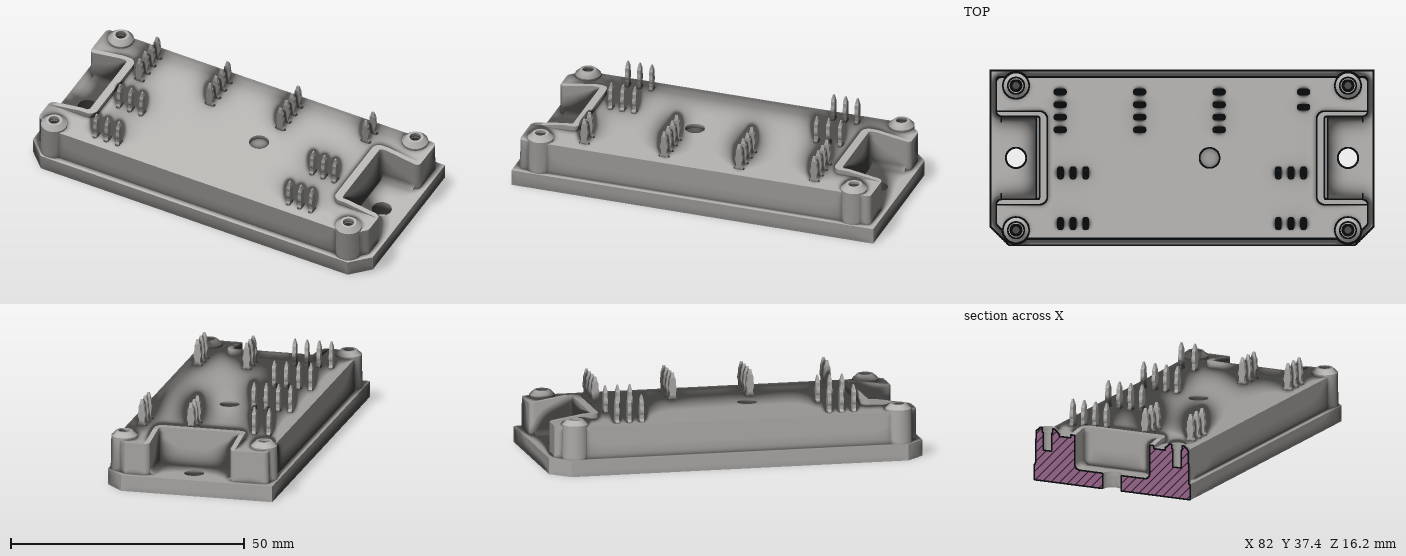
import cadquery as cq
import math

BASE_LENGTH = 82.0
BASE_WIDTH = 37.4
BASE_HEIGHT = 3.5
BASE_CHAMFER = 4.0
MOUNT_HOLE_DIAMETER = 4.3
MOUNT_HOLE_X = 35.5

HOUSING_TOP = 10.4
HOUSING_LENGTH = 79.5
HOUSING_WIDTH = 34.8
HOUSING_CHAMFER = 3.2
HOUSING_CORNER_RADIUS = 1.0
HOUSING_DRAFT = 0.2

NOTCH_HALF_WIDTH = 8.9
NOTCH_BACK_X = 30.5
NOTCH_MOUTH_RADIUS = 1.1
NOTCH_CORNER_RADIUS = 0.6
NOTCH_FILLET_RADIUS = 1.2
RIM_TOP = 11.65
RIM_WALL = 1.1
RIM_BACK_X = 28.8
RIM_CORNER_RADIUS = 1.7
RIM_SLOPE_END_X = 32.0
RIM_SLOPE_BLEND_RADIUS = 4.0
SLOT_WIDTH = 0.6
SLOT_HALF_LENGTH = 8.8

BOSS_X = 35.5
BOSS_Y = 15.45
BOSS_TOP = 11.9
BOSS_CONE_START = 10.9
BOSS_FOOT_RADIUS = 2.95
BOSS_RADIUS = 2.8
BOSS_TOP_RADIUS = 1.75
BOSS_BORE_DIAMETER = 2.4
BOSS_BORE_DEPTH = 1.0
BOSS_PILOT_DIAMETER = 1.9
BOSS_PILOT_DEPTH = 5.0

RECESS_X = 5.9
RECESS_DIAMETER = 4.3
RECESS_DEPTH = 1.0

PIN_TOP = 16.23
PIN_THICKNESS = 0.8
PIN_TIP_THICKNESS = 0.25
PIN_TIP_LENGTH = 1.1
PIN_POCKET_LENGTH = 2.5
PIN_POCKET_WIDTH = 1.1
PIN_POCKET_DEPTH = 0.5
PIN_HALF_WIDTHS = [
    (0.88, 0.2),
    (0.62, 0.7),
    (0.62, 1.5),
    (0.82, 2.1),
    (0.82, 2.6),
    (0.65, 3.4),
    (0.65, 4.3),
    (0.48, 4.7),
]
PIN_TIP_HALF_WIDTH = 0.27
PIN_PITCH = 2.7
SIDE_COLUMN_X = 26.0
REAR_ROW_Y = 14.1
REAR_FIRST_COLUMN_X = -26.05
REAR_COLUMN_PITCH = 17.0
REAR_COLUMNS = 3
REAR_PINS_PER_COLUMN = 4
SENSOR_PINS = 2
SENSOR_PIN_SPACING = 3.25
FRONT_ROWS_Y = [-3.2, -14.05]
FRONT_PINS_PER_GROUP = 3

HALF_LENGTH = BASE_LENGTH / 2
HOUSING_HEIGHT = HOUSING_TOP - BASE_HEIGHT


def cut_corner_outline(length, width, corner):
    """Rectangle whose two -Y corners are cut at 45 degrees."""
    x = length / 2
    y = width / 2
    return [
        (-x, y),
        (x, y),
        (x, -y + corner),
        (x - corner, -y),
        (-x + corner, -y),
        (-x, -y + corner),
    ]


def both_ends(solid):
    """The -X feature together with its mirror image at +X."""
    return solid.union(solid.mirror("YZ"))


def make_base():
    outline = cut_corner_outline(BASE_LENGTH, BASE_WIDTH, BASE_CHAMFER)
    return cq.Workplane("XY").polyline(outline).close().extrude(BASE_HEIGHT)


def make_housing():
    """Housing block; its long sides lean inwards and its ends are upright."""
    outline = cut_corner_outline(HOUSING_LENGTH, HOUSING_WIDTH, HOUSING_CHAMFER)
    block = (
        cq.Workplane("XY", origin=(0, 0, BASE_HEIGHT))
        .polyline(outline)
        .close()
        .extrude(HOUSING_HEIGHT)
    )
    foot_y = HOUSING_WIDTH / 2
    top_y = foot_y - HOUSING_DRAFT
    section = [
        (-foot_y, BASE_HEIGHT),
        (foot_y, BASE_HEIGHT),
        (top_y, HOUSING_TOP),
        (-top_y, HOUSING_TOP),
    ]
    drafted = cq.Workplane("YZ").polyline(section).close().extrude(HOUSING_LENGTH / 2, both=True)
    upright_ends = block.intersect(drafted)
    return upright_ends.faces("<X or >X").edges("not |Y").fillet(HOUSING_CORNER_RADIUS)


def make_rim():
    """Raised block around the -X notch, sloping down to the housing top at its open end."""
    outer = NOTCH_HALF_WIDTH + RIM_WALL
    open_x = -HOUSING_LENGTH / 2
    profile = [
        (open_x, HOUSING_TOP),
        (-RIM_SLOPE_END_X, RIM_TOP),
        (-RIM_BACK_X, RIM_TOP),
        (-RIM_BACK_X, BASE_HEIGHT),
        (open_x, BASE_HEIGHT),
    ]
    block = cq.Workplane("XZ").polyline(profile).close().extrude(outer, both=True)
    slope_end = cq.selectors.NearestToPointSelector((-RIM_SLOPE_END_X, 0, RIM_TOP))
    block = block.edges(slope_end).fillet(RIM_SLOPE_BLEND_RADIUS)
    return block.edges("|Z and >X").fillet(RIM_CORNER_RADIUS)


def make_notch_cut():
    """Tool for the -X notch; its mouth is rounded outwards."""
    y = NOTCH_HALF_WIDTH
    radius = NOTCH_MOUTH_RADIUS
    open_x = -HALF_LENGTH
    mouth_x = -HOUSING_LENGTH / 2
    straight_x = mouth_x + radius
    diagonal = radius * math.cos(math.pi / 4)
    arc_x = straight_x - diagonal
    arc_y = y + radius - diagonal
    tool = (
        cq.Workplane("XY", origin=(0, 0, BASE_HEIGHT))
        .moveTo(open_x, y + radius)
        .lineTo(mouth_x, y + radius)
        .threePointArc((arc_x, arc_y), (straight_x, y))
        .lineTo(-NOTCH_BACK_X, y)
        .lineTo(-NOTCH_BACK_X, -y)
        .lineTo(straight_x, -y)
        .threePointArc((arc_x, -arc_y), (mouth_x, -y - radius))
        .lineTo(open_x, -y - radius)
        .close()
        .extrude(RIM_TOP - BASE_HEIGHT)
    )
    return tool.edges("|Z and >X").fillet(NOTCH_CORNER_RADIUS)


def make_notch_fillets():
    """Concave fillets along the feet of the two side walls of the -X notch."""
    start_x = -HOUSING_LENGTH / 2 + NOTCH_MOUTH_RADIUS
    length = -NOTCH_BACK_X - SLOT_WIDTH - start_x
    y = NOTCH_HALF_WIDTH
    radius = NOTCH_FILLET_RADIUS
    bulge = radius * (1 - math.cos(math.pi / 4))
    fillet = (
        cq.Workplane("YZ", origin=(start_x, 0, BASE_HEIGHT))
        .moveTo(y, 0)
        .lineTo(y, radius)
        .threePointArc((y - bulge, bulge), (y - radius, 0))
        .close()
        .extrude(length)
    )
    return fillet.union(fillet.mirror("XZ"))


def make_slot_cut():
    """Narrow slot through the base plate along the back wall of the -X notch."""
    return cq.Workplane("XY").box(
        SLOT_WIDTH,
        2 * SLOT_HALF_LENGTH,
        BASE_HEIGHT,
        centered=(False, True, False),
    ).translate((-NOTCH_BACK_X - SLOT_WIDTH, 0, 0))


def make_boss():
    profile = [
        (0, BASE_HEIGHT),
        (BOSS_FOOT_RADIUS, BASE_HEIGHT),
        (BOSS_RADIUS, BOSS_CONE_START),
        (BOSS_TOP_RADIUS, BOSS_TOP),
        (0, BOSS_TOP),
    ]
    return cq.Workplane("XZ").polyline(profile).close().revolve(360, (0, 0), (0, 1))


def drill(diameter, depth, top):
    """Cylinder reaching down by depth from the height top."""
    return cq.Workplane("XY", origin=(0, 0, top)).circle(diameter / 2).extrude(-depth)


def make_pin():
    """Flat pin in the XZ plane: bulged blade, flared foot and tapered tip."""
    right = [(width, HOUSING_TOP + height) for width, height in PIN_HALF_WIDTHS]
    foot_width = PIN_HALF_WIDTHS[0][0]
    right = [(foot_width, HOUSING_TOP - PIN_POCKET_DEPTH)] + right + [(PIN_TIP_HALF_WIDTH, PIN_TOP)]
    left = [(-x, z) for x, z in reversed(right)]
    half = PIN_THICKNESS / 2
    blade = cq.Workplane("XZ").polyline(right + left).close().extrude(half, both=True)

    tip_half = PIN_TIP_THICKNESS / 2
    edge = [
        (half, HOUSING_TOP - PIN_POCKET_DEPTH),
        (half, PIN_TOP - PIN_TIP_LENGTH),
        (tip_half, PIN_TOP),
        (-tip_half, PIN_TOP),
        (-half, PIN_TOP - PIN_TIP_LENGTH),
        (-half, HOUSING_TOP - PIN_POCKET_DEPTH),
    ]
    side_shape = cq.Workplane("YZ").polyline(edge).close().extrude(foot_width, both=True)
    return blade.intersect(side_shape)


def make_pin_pocket():
    """Shallow slot in the housing top that the foot of a pin stands in."""
    return (
        cq.Workplane("XY", origin=(0, 0, HOUSING_TOP))
        .slot2D(PIN_POCKET_LENGTH, PIN_POCKET_WIDTH)
        .extrude(-PIN_POCKET_DEPTH)
    )


def quarter_turn(solid):
    return solid.rotate((0, 0, 0), (0, 0, 1), 90)


def wide_in_x_points():
    """Places of the pins whose blades are wide along X."""
    points = []
    for column in range(REAR_COLUMNS):
        x = REAR_FIRST_COLUMN_X + column * REAR_COLUMN_PITCH
        for i in range(REAR_PINS_PER_COLUMN):
            points.append((x, REAR_ROW_Y - i * PIN_PITCH))
    for i in range(SENSOR_PINS):
        points.append((SIDE_COLUMN_X, REAR_ROW_Y - i * SENSOR_PIN_SPACING))
    return points


def wide_in_y_points():
    """Places of the pins whose blades are wide along Y."""
    points = []
    for y in FRONT_ROWS_Y:
        for i in range(FRONT_PINS_PER_GROUP):
            x = SIDE_COLUMN_X - i * PIN_PITCH
            points.append((x, y))
            points.append((-x, y))
    return points


def place(solid, points):
    """One compound with a copy of the solid at each (x, y) point."""
    copies = [solid.val().translate(cq.Vector(x, y, 0)) for x, y in points]
    return cq.Workplane(cq.Compound.makeCompound(copies))


boss_points = [(x, y) for x in (-BOSS_X, BOSS_X) for y in (-BOSS_Y, BOSS_Y)]
mount_points = [(-MOUNT_HOLE_X, 0), (MOUNT_HOLE_X, 0)]

body = make_housing().union(both_ends(make_rim()))
body = body.cut(both_ends(make_notch_cut()))
body = body.union(both_ends(make_notch_fillets()))
body = body.union(make_base().cut(both_ends(make_slot_cut())))
body = body.union(place(make_boss(), boss_points))

body = body.cut(place(drill(BOSS_BORE_DIAMETER, BOSS_BORE_DEPTH, BOSS_TOP), boss_points))
body = body.cut(place(drill(BOSS_PILOT_DIAMETER, BOSS_PILOT_DEPTH, BOSS_TOP), boss_points))
body = body.cut(place(drill(MOUNT_HOLE_DIAMETER, BASE_HEIGHT, BASE_HEIGHT), mount_points))
body = body.cut(place(drill(RECESS_DIAMETER, RECESS_DEPTH, HOUSING_TOP), [(RECESS_X, 0)]))

pin = make_pin()
pocket = make_pin_pocket()
body = body.cut(place(pocket, wide_in_x_points()))
body = body.cut(place(quarter_turn(pocket), wide_in_y_points()))
body = body.union(place(pin, wide_in_x_points()))
body = body.union(place(quarter_turn(pin), wide_in_y_points()))

result = body